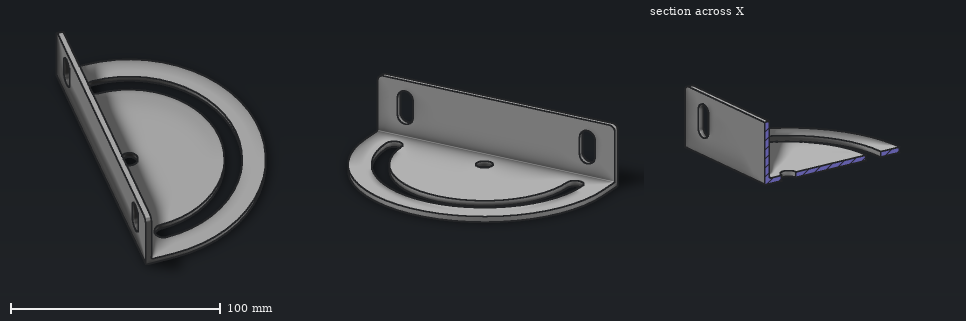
import cadquery as cq

width = 130.5
depth = 79.6
height = 32.0
thickness = 3.0

bend_inner_radius = 0.9
bend_outer_radius = 1.0
corner_radius = 3.0

slot_width = 8.5
pivot_diameter = 8.2
arc_slot_radius = 49.7
wall_slot_length = 17.0
wall_slot_spacing = 100.1
wall_slot_drop = 14.0

outer_radius = width / 2
front_y = outer_radius - depth
wall_back_y = front_y + thickness
cut_depth = 2 * thickness


def base_plate():
    """Half-round plate with straight sides running forward to the bend."""
    return (
        cq.Workplane("XY")
        .moveTo(-outer_radius, front_y)
        .lineTo(outer_radius, front_y)
        .lineTo(outer_radius, 0)
        .threePointArc((0, outer_radius), (-outer_radius, 0))
        .close()
        .extrude(thickness)
    )


def upright_wall():
    """Front wall with its two upper corners rounded."""
    return (
        cq.Workplane("XY")
        .box(width, thickness, height, centered=(True, False, False))
        .translate((0, front_y, 0))
        .edges("|Y and >Z")
        .fillet(corner_radius)
    )


def bracket_body():
    """Plate and wall joined by a bend rounded inside and outside."""
    inner_bend = cq.selectors.NearestToPointSelector((0, wall_back_y, thickness))
    outer_bend = cq.selectors.NearestToPointSelector((0, front_y, 0))
    return (
        base_plate()
        .union(upright_wall())
        .edges(inner_bend)
        .fillet(bend_inner_radius)
        .edges(outer_bend)
        .fillet(bend_outer_radius)
    )


def arc_slot():
    """Half-circle slot about the pivot, with round ends."""
    outer = arc_slot_radius + slot_width / 2
    inner = arc_slot_radius - slot_width / 2
    end_y = -slot_width / 2
    return (
        cq.Workplane("XY")
        .moveTo(outer, 0)
        .threePointArc((0, outer), (-outer, 0))
        .threePointArc((-arc_slot_radius, end_y), (-inner, 0))
        .threePointArc((0, inner), (inner, 0))
        .threePointArc((arc_slot_radius, end_y), (outer, 0))
        .close()
        .extrude(cut_depth)
    )


def pivot_hole():
    """Round hole at the centre of the arc slot."""
    return cq.Workplane("XY").circle(pivot_diameter / 2).extrude(cut_depth)


def wall_slots():
    """Two upright slots through the wall, one near each end."""
    slot_z = height - wall_slot_drop
    return (
        cq.Workplane("XZ", origin=(0, wall_back_y, slot_z))
        .pushPoints([(side * wall_slot_spacing / 2, 0) for side in (-1, 1)])
        .slot2D(wall_slot_length, slot_width, angle=90)
        .extrude(cut_depth)
    )


result = bracket_body().cut(arc_slot()).cut(pivot_hole()).cut(wall_slots())